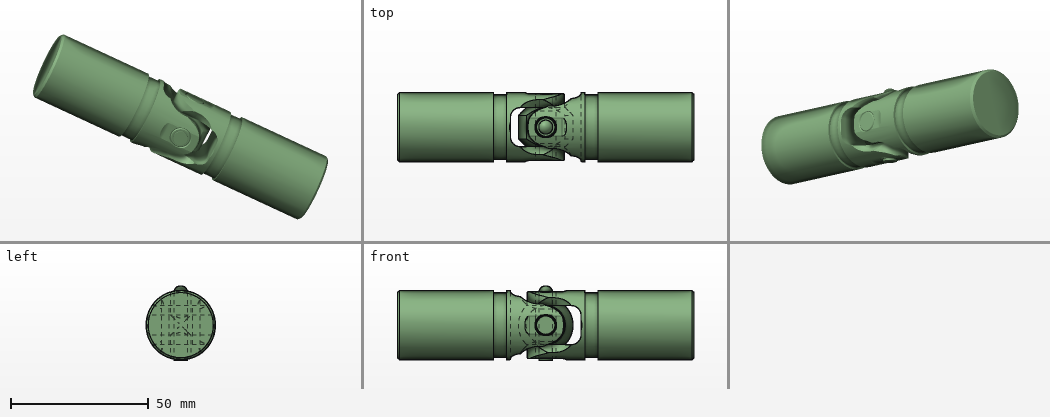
import cadquery as cq
import math


INCH = 25.4

body_radius = 12.635
yoke_end_x = 2.125 * INCH
end_chamfer = 0.8
groove_start_x = 14.25
groove_end_x = 19.0
groove_depth = 0.8

gap_half = 7.06
gap_depth_x = 12.8
gap_corner_radius = 3.5
nose_radius = 6.8
nose_chamfer = 0.8
nose_tangent_x = 2.54

clearance_radius = 5 / 16 * INCH
clearance_end_x = 2.34
clearance_y = 13.5
clearance_z = 4.6

pin_flat_height = 12.2
pin_flat_end_x = 6.0
pin_flat_runout_radius = INCH / 8

block_radius = 9.95
block_chamfer = 2.8

pin_radius = 3.65
pin_chamfer = 0.32
rivet_radius = INCH / 10
rivet_length = 27.18
rivet_top_z = 14.31
rivet_bottom_z = rivet_top_z - rivet_length

past_nose = 2 * nose_radius


def cylinder(plane, radius, start, end):
    """Round bar between two offsets along the normal of a plane through the origin."""
    return cq.Workplane(plane).workplane(offset=start).circle(radius).extrude(end - start)




def yoke_blank():
    """Turned bar along +X with a chamfer at both ends and a groove behind the fork."""
    groove_radius = body_radius - groove_depth
    outline = [
        (-nose_radius, 0),
        (-nose_radius, body_radius - nose_chamfer),
        (-nose_radius + nose_chamfer, body_radius),
        (groove_start_x, body_radius),
        (groove_start_x, groove_radius),
        (groove_end_x, groove_radius),
        (groove_end_x, body_radius),
        (yoke_end_x - end_chamfer, body_radius),
        (yoke_end_x, body_radius - end_chamfer),
        (yoke_end_x, 0),
    ]
    profile = cq.Workplane("XY").polyline(outline).close()
    return profile.revolve(360, (0, 0, 0), (1, 0, 0))


def arm_outline():
    """Arm shape along Z: a round nose running tangentially into widening sides."""
    nose_half_width = math.sqrt(nose_radius**2 - nose_tangent_x**2)
    side_slope = nose_tangent_x / nose_half_width
    side_end_x = (body_radius - nose_half_width) / side_slope - nose_tangent_x
    return (
        cq.Workplane("XY")
        .moveTo(-nose_tangent_x, nose_half_width)
        .threePointArc((-nose_radius, 0), (-nose_tangent_x, -nose_half_width))
        .lineTo(side_end_x, -body_radius)
        .lineTo(yoke_end_x, -body_radius)
        .lineTo(yoke_end_x, body_radius)
        .lineTo(side_end_x, body_radius)
        .close()
        .extrude(body_radius, both=True)
    )


def fork_gap():
    """Slot between the two arms, open at the nose, with rounded bottom corners."""
    length = gap_depth_x + past_nose
    return (
        cq.Workplane("XZ")
        .center(gap_depth_x - length / 2, 0)
        .rect(length, 2 * gap_half)
        .extrude(body_radius, both=True)
        .edges("|Y and >X")
        .fillet(gap_corner_radius)
    )


def side_clearance(y_side, z_side):
    """Ball-ended groove along X that hollows one side of one arm."""
    centre = (clearance_end_x, y_side * clearance_y, z_side * clearance_z)
    length = clearance_end_x + past_nose
    groove = cq.Workplane("YZ", origin=centre).circle(clearance_radius).extrude(-length)
    ball = cq.Workplane("XY").sphere(clearance_radius).translate(centre)
    return groove.union(ball)


def pin_flat():
    """Flat across the top of the upper arm, running out upward in a quarter arc."""
    runout_x = pin_flat_end_x + pin_flat_runout_radius
    runout_z = pin_flat_height + pin_flat_runout_radius
    arc_middle_offset = pin_flat_runout_radius * math.sin(math.pi / 4)
    return (
        cq.Workplane("XZ")
        .moveTo(-past_nose, pin_flat_height)
        .lineTo(pin_flat_end_x, pin_flat_height)
        .threePointArc(
            (pin_flat_end_x + arc_middle_offset, runout_z - arc_middle_offset),
            (runout_x, runout_z),
        )
        .lineTo(-past_nose, runout_z)
        .close()
        .extrude(body_radius, both=True)
    )


def pin_hole_countersink():
    """Cone that breaks the rim of the upper pin hole by the same size as the pin chamfer."""
    base = cq.Vector(0, 0, pin_flat_height - pin_chamfer)
    cone = cq.Solid.makeCone(pin_radius, pin_radius + pin_chamfer, pin_chamfer, base)
    return cq.Workplane(obj=cone)


def fork_yoke():
    """Yoke whose body points to +X and whose arms lie at +Z and -Z."""
    yoke = yoke_blank().intersect(arm_outline()).cut(fork_gap())
    for y_side in (-1, 1):
        for z_side in (-1, 1):
            yoke = yoke.cut(side_clearance(y_side, z_side))
    yoke = yoke.cut(cylinder("XY", pin_radius, -body_radius, body_radius))
    for upper_cut in (pin_flat(), pin_hole_countersink()):
        yoke = yoke.cut(upper_cut).cut(upper_cut.mirror("XY"))
    return yoke




def centre_block():
    """Drum along Y, coned at both ends, flattened above and below, with crossed pin holes."""
    drum = cylinder("XZ", block_radius, -gap_half, gap_half)
    drum = drum.faces("<Y or >Y").edges().chamfer(block_chamfer)
    block = drum.intersect(cq.Workplane("XY").box(2 * block_radius, 2 * gap_half, 2 * gap_half))
    for plane in ("XY", "XZ"):
        block = block.cut(cylinder(plane, pin_radius, -gap_half, gap_half))
    return block


def rivet_body():
    """Rivet along Z with a flat lower end and a domed head standing on the pin flat."""
    shank = cylinder("XY", rivet_radius, rivet_bottom_z, pin_flat_height)
    dome_height = rivet_top_z - pin_flat_height
    dome_sphere_radius = (rivet_radius**2 + dome_height**2) / (2 * dome_height)
    dome_centre_z = rivet_top_z - dome_sphere_radius
    middle_angle = math.asin(rivet_radius / dome_sphere_radius) / 2
    dome_middle = (
        dome_sphere_radius * math.sin(middle_angle),
        dome_centre_z + dome_sphere_radius * math.cos(middle_angle),
    )
    dome = (
        cq.Workplane("XZ")
        .moveTo(0, pin_flat_height)
        .lineTo(rivet_radius, pin_flat_height)
        .threePointArc(dome_middle, (0, rivet_top_z))
        .close()
        .revolve(360, (0, 0, 0), (0, 1, 0))
    )
    return shank.union(dome)


def long_pin_body():
    """Pin along Y through both arms and the block, cross-drilled for the rivet."""
    pin = cylinder("XZ", pin_radius, -pin_flat_height, pin_flat_height)
    pin = pin.faces("<Y or >Y").edges().chamfer(pin_chamfer)
    return pin.cut(cylinder("XY", rivet_radius, -pin_radius, pin_radius))


def short_pin(z_side):
    """Hollow pin along Z from the long pin out to the flat of one arm."""
    pin = cylinder("XY", pin_radius, pin_radius, pin_flat_height)
    pin = pin.faces(">Z").edges().chamfer(pin_chamfer)
    pin = pin.cut(cylinder("XY", rivet_radius, pin_radius, pin_flat_height))
    if z_side < 0:
        pin = pin.mirror("XY")
    return pin



right_yoke = fork_yoke()
left_yoke = fork_yoke().rotate((0, 0, 0), (1, 0, 0), 90).rotate((0, 0, 0), (0, 0, 1), 180)
block = centre_block()
long_pin = long_pin_body()
short_pins = [short_pin(z_side) for z_side in (-1, 1)]
rivet = rivet_body()

result = cq.Compound.makeCompound(
    [
        right_yoke.solids().val(),
        left_yoke.solids().val(),
        block.solids().val(),
        long_pin.solids().val(),
        *[pin.solids().val() for pin in short_pins],
        rivet.solids().val(),
    ]
)